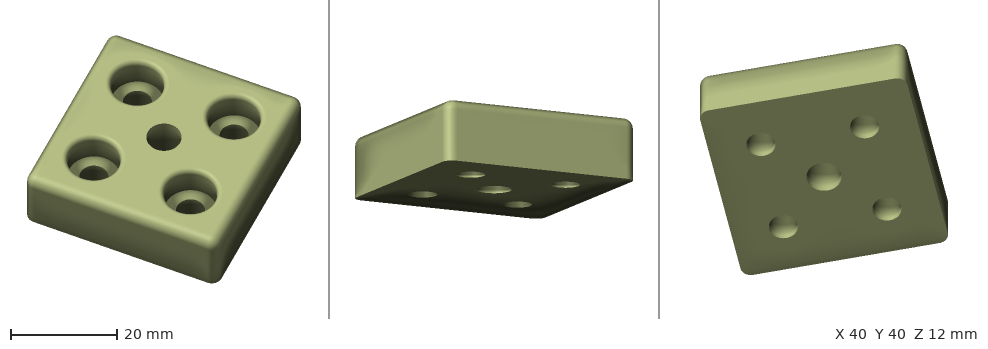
import cadquery as cq

side = 40.0
height = 12.0
edge_radius = 2.0

screw_spacing = 20.0
screw_hole_diameter = 5.5
counterbore_diameter = 10.0
counterbore_depth = 5.7
counterbore_rim_radius = 1.0

centre_hole_diameter = 6.65


def make_block():
    """Square block, base on Z = 0, rounded on its upright and top edges."""
    block = cq.Workplane("XY").box(side, side, height, centered=(True, True, False))
    block = block.edges("|Z").fillet(edge_radius)
    return block.faces(">Z").edges().fillet(edge_radius)


def make_screw_cutter():
    """Through hole and counterbore, flaring out along the rounded rim at the top."""
    hole_radius = screw_hole_diameter / 2
    bore_radius = counterbore_diameter / 2
    rim_centre_r = bore_radius + counterbore_rim_radius
    rim_start_z = height - counterbore_rim_radius
    floor_z = height - counterbore_depth
    return (
        cq.Workplane("XZ")
        .moveTo(0, 0)
        .lineTo(hole_radius, 0)
        .lineTo(hole_radius, floor_z)
        .lineTo(bore_radius, floor_z)
        .lineTo(bore_radius, rim_start_z)
        .radiusArc((rim_centre_r, height), counterbore_rim_radius)
        .lineTo(0, height)
        .close()
        .revolve(360, (0, 0, 0), (0, 1, 0))
    )


def cut_screw_holes(block):
    cutter = make_screw_cutter()
    for x_sign in (-1, 1):
        for y_sign in (-1, 1):
            position = (x_sign * screw_spacing / 2, y_sign * screw_spacing / 2, 0)
            block = block.cut(cutter.translate(position))
    return block


def cut_centre_hole(block):
    return block.faces(">Z").workplane(origin=(0, 0, height)).circle(centre_hole_diameter / 2).cutThruAll()


result = cut_centre_hole(cut_screw_holes(make_block()))